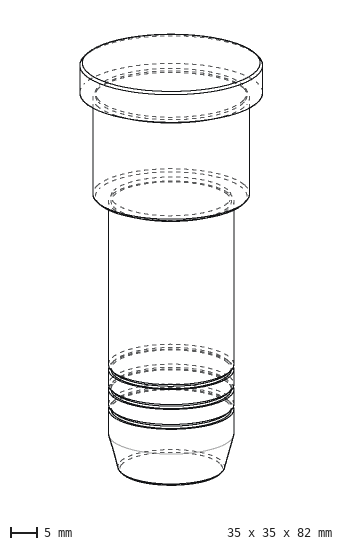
import cadquery as cq
import math

total_height = 82.0
head_radius = 35.0 / 2
body_radius = 30.0 / 2
shank_radius = 24.0 / 2

head_bottom = total_height - 6.1
body_bottom = total_height - 27.0
taper_top = 7.05

edge_chamfer = 0.5
neck_depth = 0.5
head_neck_height = 0.5
shank_neck_height = 1.0
taper_angle = math.radians(15)
tip_chamfer = 0.4

groove_count = 3
groove_width = 1.0
groove_depth = 0.5
groove_pitch = 4.0
lowest_groove_bottom = 12.05


def cylinder(radius, bottom, top):
    return cq.Workplane("XY").workplane(offset=bottom).circle(radius).extrude(top - bottom)


def make_head():
    head = cylinder(head_radius, head_bottom, total_height)
    return head.faces(">Z").edges().chamfer(edge_chamfer)


def make_body():
    body_top = head_bottom - head_neck_height
    body = cylinder(body_radius, body_bottom, body_top).edges("%CIRCLE").chamfer(edge_chamfer)
    neck = cylinder(body_radius - neck_depth, body_top, head_bottom)
    return body.union(neck)


def make_shank():
    shank_top = body_bottom - shank_neck_height
    shank = cylinder(shank_radius, taper_top, shank_top)
    neck = cylinder(shank_radius - neck_depth, shank_top, body_bottom)
    return shank.union(neck)


def make_tip():
    tip_radius = shank_radius - (taper_top - tip_chamfer) * math.tan(taper_angle)
    return (
        cq.Workplane("XZ")
        .moveTo(0, 0)
        .lineTo(tip_radius - tip_chamfer, 0)
        .lineTo(tip_radius, tip_chamfer)
        .lineTo(shank_radius, taper_top)
        .lineTo(0, taper_top)
        .close()
        .revolve(360, (0, 0), (0, 1))
    )


def make_groove(bottom):
    floor_radius = shank_radius - groove_depth
    top = bottom + groove_width
    return (
        cq.Workplane("XZ")
        .moveTo(shank_radius, bottom)
        .lineTo(floor_radius, bottom)
        .lineTo(floor_radius, top - groove_depth)
        .lineTo(shank_radius, top)
        .close()
        .revolve(360, (0, 0), (0, 1))
    )


result = make_head().union(make_body()).union(make_shank()).union(make_tip())
for index in range(groove_count):
    result = result.cut(make_groove(lowest_groove_bottom + index * groove_pitch))